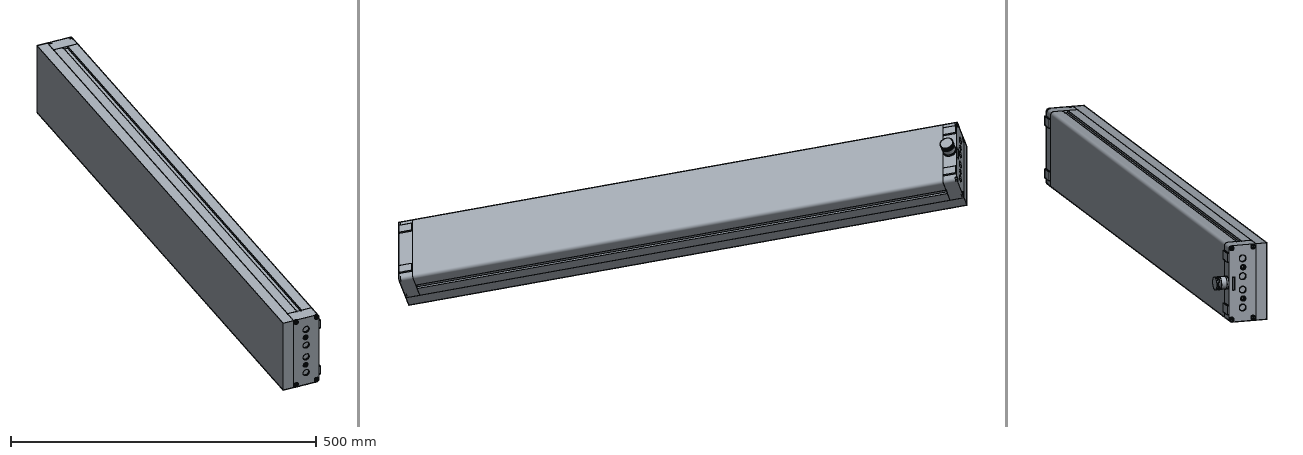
import cadquery as cq

length = 946.0
height = 130.0
total_depth = 86.0

plate_depth = 19.0
housing_back = 65.0
cap_length = 24.0
back_round = 6.0

groove_front = 36.0
groove_width = 8.5
groove_depth = 4.0

pad_length = 22.0
pad_height = 15.0
pad_thickness = 3.0
pad_offset = 44.0

opening_depth = 3.0
bore_depth = 6.0
large_opening_y = 42.0
small_opening_y = 41.0
large_opening_diameter = 11.0
small_opening_diameter = 8.5
small_bore_diameter = 5.0
outer_opening_z = 42.0
small_opening_z = 26.5
inner_opening_z = 11.0

screw_diameter = 8.0
screw_bore_diameter = 4.0
screw_edge_gap = 5.0

slot_width = 4.0
slot_y = 57.0

connector_diameter = 22.0
neck_diameter = 21.0
flange_thickness = 3.0
head_length = 8.5
ring_width = 3.0
ring_diameter = 19.0

half_length = length / 2
half_height = height / 2
inner_length = length - 2 * cap_length
cap_center_x = -half_length + cap_length / 2


def housing_section(x_start, x_end):
    """Housing cross-section with rounded back edges, between two X positions."""
    depth = housing_back - plate_depth
    block = cq.Workplane("XY").box(x_end - x_start, depth, height)
    block = block.faces(">Y").edges("|X").fillet(back_round)
    return block.translate(((x_start + x_end) / 2, plate_depth + depth / 2, 0))


def make_plate():
    return cq.Workplane("XY").box(length, plate_depth, height).translate((0, plate_depth / 2, 0))


def make_profile():
    profile = housing_section(-inner_length / 2, inner_length / 2)
    groove_y = groove_front + groove_width / 2
    for side in (-1, 1):
        groove = cq.Workplane("XY").box(inner_length, groove_width, 2 * groove_depth)
        profile = profile.cut(groove.translate((0, groove_y, side * half_height)))
    return profile


def round_openings(diameter, depth, centers):
    """Cutters sunk into the left end face at the given (Y, Z) centers."""
    return (
        cq.Workplane("YZ", origin=(-half_length, 0, 0))
        .pushPoints(centers)
        .circle(diameter / 2)
        .extrude(depth)
    )


def make_cap():
    """Left end cap without its connector."""
    inner_x = -half_length + cap_length
    cap = housing_section(-half_length, inner_x)

    for side in (-1, 1):
        pad = cq.Workplane("XY").box(pad_length, pad_thickness, pad_height)
        cap = cap.union(pad.translate((cap_center_x, housing_back + pad_thickness / 2, side * pad_offset)))

    sides = (-1, 1)
    large_centers = [
        (large_opening_y, side * z) for side in sides for z in (outer_opening_z, inner_opening_z)
    ]
    small_centers = [(small_opening_y, side * small_opening_z) for side in sides]
    screw_z = half_height - screw_edge_gap
    screw_rows = (plate_depth + screw_edge_gap, housing_back - screw_edge_gap)
    screw_centers = [(y, side * screw_z) for side in sides for y in screw_rows]
    cap = cap.cut(round_openings(large_opening_diameter, opening_depth, large_centers))
    cap = cap.cut(round_openings(small_opening_diameter, opening_depth, small_centers))
    cap = cap.cut(round_openings(screw_diameter, opening_depth, screw_centers))
    cap = cap.cut(round_openings(small_bore_diameter, bore_depth, small_centers))
    cap = cap.cut(round_openings(screw_bore_diameter, bore_depth, screw_centers))
    return cap


def connector_disc(diameter, y_start, y_end):
    """Round length of the connector between two Y positions."""
    plane = cq.Workplane("XZ", origin=(cap_center_x, y_end, 0))
    return plane.circle(diameter / 2).extrude(y_end - y_start)


def make_connector():
    """Flange, narrower neck and a head with one ring groove."""
    flange_end = housing_back + flange_thickness
    head_start = total_depth - head_length
    ring_end = total_depth - ring_width
    ring_start = ring_end - ring_width
    return (
        connector_disc(connector_diameter, housing_back, flange_end)
        .union(connector_disc(neck_diameter, flange_end, head_start))
        .union(connector_disc(connector_diameter, head_start, ring_start))
        .union(connector_disc(ring_diameter, ring_start, ring_end))
        .union(connector_disc(connector_diameter, ring_end, total_depth))
    )


def add_connector(cap):
    """Join the connector to the left end cap and cut the slot beside it."""
    slot = cq.Workplane("XY").box(2 * opening_depth, slot_width, connector_diameter)
    return cap.union(make_connector()).cut(slot.translate((-half_length, slot_y, 0)))


plate = make_plate()
profile = make_profile()
cap = make_cap()
left_cap = add_connector(cap)
right_cap = cap.mirror("YZ")

result = cq.Compound.makeCompound([plate.val(), profile.val(), left_cap.val(), right_cap.val()])